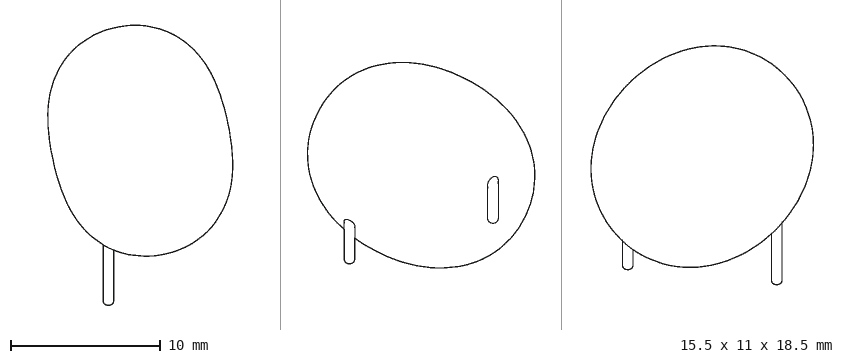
import cadquery as cq

body_diameter = 15.5
body_thickness = 11.0
rim_radius = 5.35

lead_diameter = 0.72
lead_pitch_x = 7.5
lead_pitch_y = 6.7
lead_tip_radius = lead_diameter / 4

lead_length_below_board = 3.0
body_standoff = 0.03
body_center_z = body_standoff + body_diameter / 2


def make_body():
    """Disc with rounded rims, leaving a narrow cylindrical band and two flat faces."""
    return (
        cq.Workplane("XZ", origin=(0, body_thickness / 2, body_center_z))
        .circle(body_diameter / 2)
        .extrude(body_thickness)
        .edges("%CIRCLE")
        .fillet(rim_radius)
    )


def make_lead(x, y):
    """Round wire with a rounded tip, running up into the body to its mid height."""
    return (
        cq.Workplane("XY")
        .circle(lead_diameter / 2)
        .extrude(lead_length_below_board + body_center_z)
        .faces("<Z")
        .fillet(lead_tip_radius)
        .translate((x, y, -lead_length_below_board))
    )


result = make_body()
for side in (-1, 1):
    result = result.union(make_lead(side * lead_pitch_x / 2, -side * lead_pitch_y / 2))